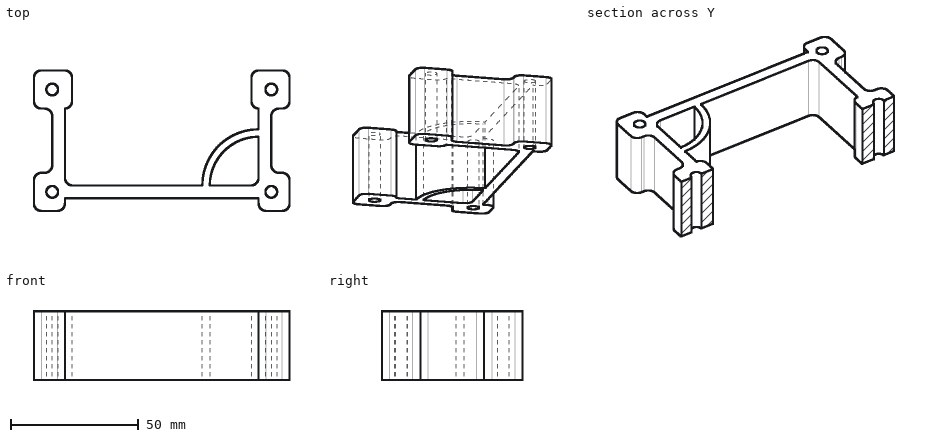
import cadquery as cq

length = 100.0
depth = 55.0
height = 27.0

pad_size = 15.0
wall = 5.0
side_wall_inset = 7.2
front_wall_inset = 5.0
hole_diameter = 4.5
corner_radius = 3.0

rib_outer_radius = 22.0
rib_thickness = 3.0

half_length = length / 2
side_wall_outer_x = half_length - side_wall_inset
side_wall_inner_x = side_wall_outer_x - wall
front_wall_inner_y = front_wall_inset + wall
pad_inner_x = half_length - pad_size
rear_pad_y = depth - pad_size


def prism(x_min, x_max, y_min, y_max):
    """Full-height block between the given limits."""
    block = cq.Workplane("XY").box(x_max - x_min, y_max - y_min, height, centered=False)
    return block.translate((x_min, y_min, 0))


def right_half():
    """Front pad, rear pad and walls on the +X side of the middle plane."""
    front_pad = prism(side_wall_inner_x, half_length, 0, pad_size)
    rear_pad = prism(pad_inner_x, half_length, rear_pad_y, depth)
    front_pad = front_pad.edges("|Z").edges("<Y or >X").fillet(corner_radius)
    rear_pad = rear_pad.edges("|Z").fillet(corner_radius)
    side_wall = prism(side_wall_inner_x, side_wall_outer_x, front_wall_inset, depth - pad_size / 2)
    front_wall = prism(0, side_wall_inner_x, front_wall_inset, front_wall_inner_y)
    half = front_pad.union(rear_pad).union(side_wall).union(front_wall)

    for x, y in [
        (side_wall_outer_x, pad_size),
        (side_wall_outer_x, rear_pad_y),
        (side_wall_inner_x, front_wall_inner_y),
    ]:
        corner = cq.selectors.NearestToPointSelector((x, y, height / 2))
        half = half.edges("|Z").edges(corner).fillet(corner_radius)

    hole_centers = [
        (side_wall_outer_x, pad_size / 2),
        (side_wall_outer_x, depth - pad_size / 2),
    ]
    holes = cq.Workplane("XY").pushPoints(hole_centers).circle(hole_diameter / 2).extrude(height)
    return half.cut(holes)


def quarter_rib():
    """Quarter ring centred on the inner corner of the +X and front walls."""
    ring = (
        cq.Workplane("XY")
        .center(side_wall_inner_x, front_wall_inner_y)
        .circle(rib_outer_radius)
        .circle(rib_outer_radius - rib_thickness)
        .extrude(height)
    )
    quadrant = prism(
        side_wall_inner_x - rib_outer_radius,
        side_wall_inner_x,
        front_wall_inner_y,
        front_wall_inner_y + rib_outer_radius,
    )
    return ring.intersect(quadrant)


right = right_half()
left = right.mirror("YZ")
result = right.union(left).union(quarter_rib()).clean()